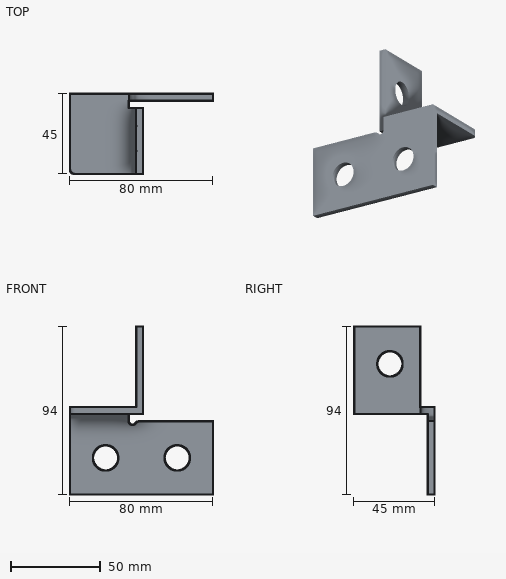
import cadquery as cq
import math

THICKNESS = 4.0
BACK_LENGTH = 80.0
SHELF_WIDTH = 41.0
SHELF_DEPTH = 45.0
FLANGE_HEIGHT = 45.0
NOTCH_SIZE = 2 * THICKNESS

HOLE_DIAMETER = 14.0
BACK_HOLE_X = (20.0, 60.0)
BACK_HOLE_Z = 20.5
UPRIGHT_HOLE_Y = 20.0
UPRIGHT_HOLE_DROP = 21.0

CORNER_RADIUS = 3.0
RELIEF_RADIUS = 2.0
RELIEF_EDGE_RADIUS = 3.0

SHELF_BOTTOM = FLANGE_HEIGHT
SHELF_TOP = SHELF_BOTTOM + THICKNESS
TOTAL_HEIGHT = SHELF_TOP + FLANGE_HEIGHT
BACK_FREE_EDGE_Z = SHELF_BOTTOM - THICKNESS
SHELF_BEND_LENGTH = SHELF_WIDTH - NOTCH_SIZE
UPRIGHT_WIDTH = SHELF_DEPTH - NOTCH_SIZE
UPRIGHT_X = SHELF_WIDTH - THICKNESS


def block(x_range, y_range, z_range):
    """Axis-aligned box spanning the given ranges."""
    size = [high - low for low, high in (x_range, y_range, z_range)]
    corner = (x_range[0], y_range[0], z_range[0])
    return cq.Workplane("XY").box(*size, centered=False).translate(corner)


def point_on_circle(centre, radius, angle):
    """Point of a circle at the given angle in radians."""
    return (centre[0] + radius * math.cos(angle), centre[1] + radius * math.sin(angle))


def make_back_plate():
    """Back plate with a rounded bend relief beside the shelf bend and two holes."""
    centre_gap = RELIEF_RADIUS + RELIEF_EDGE_RADIUS
    drop_angle = math.asin(RELIEF_EDGE_RADIUS / centre_gap)
    relief_x = SHELF_BEND_LENGTH + RELIEF_RADIUS
    relief_centre = (relief_x, BACK_FREE_EDGE_Z)
    edge_round_x = relief_x + centre_gap * math.cos(drop_angle)
    edge_round_centre = (edge_round_x, BACK_FREE_EDGE_Z - RELIEF_EDGE_RADIUS)

    tangent_angle = math.pi - drop_angle
    middle_angle = (tangent_angle + math.pi / 2) / 2
    edge_round_middle = point_on_circle(edge_round_centre, RELIEF_EDGE_RADIUS, middle_angle)
    edge_round_end = point_on_circle(edge_round_centre, RELIEF_EDGE_RADIUS, tangent_angle)
    relief_bottom = point_on_circle(relief_centre, RELIEF_RADIUS, -math.pi / 2)
    relief_end = point_on_circle(relief_centre, RELIEF_RADIUS, math.pi)

    outline = (
        cq.Workplane("XZ", origin=(0, SHELF_DEPTH, 0))
        .moveTo(0, 0)
        .lineTo(BACK_LENGTH, 0)
        .lineTo(BACK_LENGTH, BACK_FREE_EDGE_Z)
        .lineTo(edge_round_x, BACK_FREE_EDGE_Z)
        .threePointArc(edge_round_middle, edge_round_end)
        .threePointArc(relief_bottom, relief_end)
        .lineTo(SHELF_BEND_LENGTH, SHELF_TOP)
        .lineTo(0, SHELF_TOP)
        .close()
    )
    holes = (
        cq.Workplane("XZ", origin=(0, SHELF_DEPTH, 0))
        .pushPoints([(x, BACK_HOLE_Z) for x in BACK_HOLE_X])
        .circle(HOLE_DIAMETER / 2)
        .extrude(THICKNESS)
    )
    return outline.extrude(THICKNESS).cut(holes)


def make_shelf():
    """Horizontal plate, notched at its back corner, with one rounded free corner."""
    main = block((0, SHELF_WIDTH), (0, UPRIGHT_WIDTH), (SHELF_BOTTOM, SHELF_TOP))
    main = main.edges("|Z and <X and <Y").fillet(CORNER_RADIUS)
    neck = block((0, SHELF_BEND_LENGTH), (UPRIGHT_WIDTH, SHELF_DEPTH), (SHELF_BOTTOM, SHELF_TOP))
    return main.union(neck)


def make_upright():
    """Upright flange with one hole."""
    plate = block((UPRIGHT_X, SHELF_WIDTH), (0, UPRIGHT_WIDTH), (SHELF_BOTTOM, TOTAL_HEIGHT))
    hole = (
        cq.Workplane("YZ", origin=(UPRIGHT_X, 0, 0))
        .center(UPRIGHT_HOLE_Y, TOTAL_HEIGHT - UPRIGHT_HOLE_DROP)
        .circle(HOLE_DIAMETER / 2)
        .extrude(THICKNESS)
    )
    return plate.cut(hole)


result = make_back_plate().union(make_shelf()).union(make_upright()).clean()